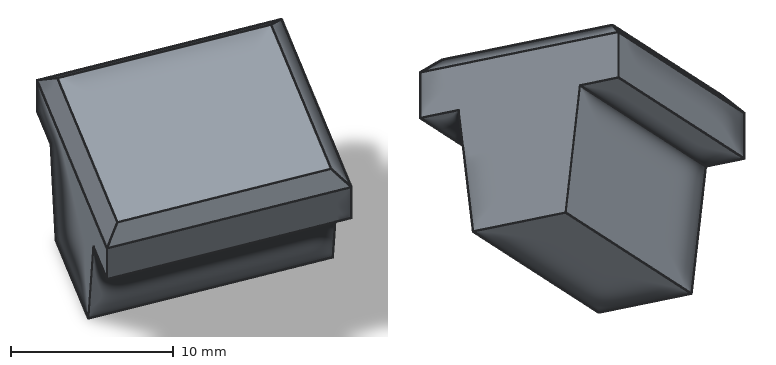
import cadquery as cq

width = 14.0
length = 15.8
height = 12.2

head_thickness = 4.0
bevel = 1.0

stem_top_width = 8.56
stem_bottom_width = 6.54

stem_height = height - head_thickness


def make_head():
    """Rectangular plate with its four upper edges bevelled."""
    plate = cq.Workplane("XY").box(width, length, head_thickness, centered=(True, True, False))
    return plate.faces(">Z").edges().chamfer(bevel).translate((0, 0, stem_height))


def make_stem():
    """Trapezoidal bar, narrower at the bottom."""
    return (
        cq.Workplane("XZ")
        .moveTo(-stem_bottom_width / 2, 0)
        .lineTo(stem_bottom_width / 2, 0)
        .lineTo(stem_top_width / 2, stem_height)
        .lineTo(-stem_top_width / 2, stem_height)
        .close()
        .extrude(length / 2, both=True)
    )


result = make_head().union(make_stem())